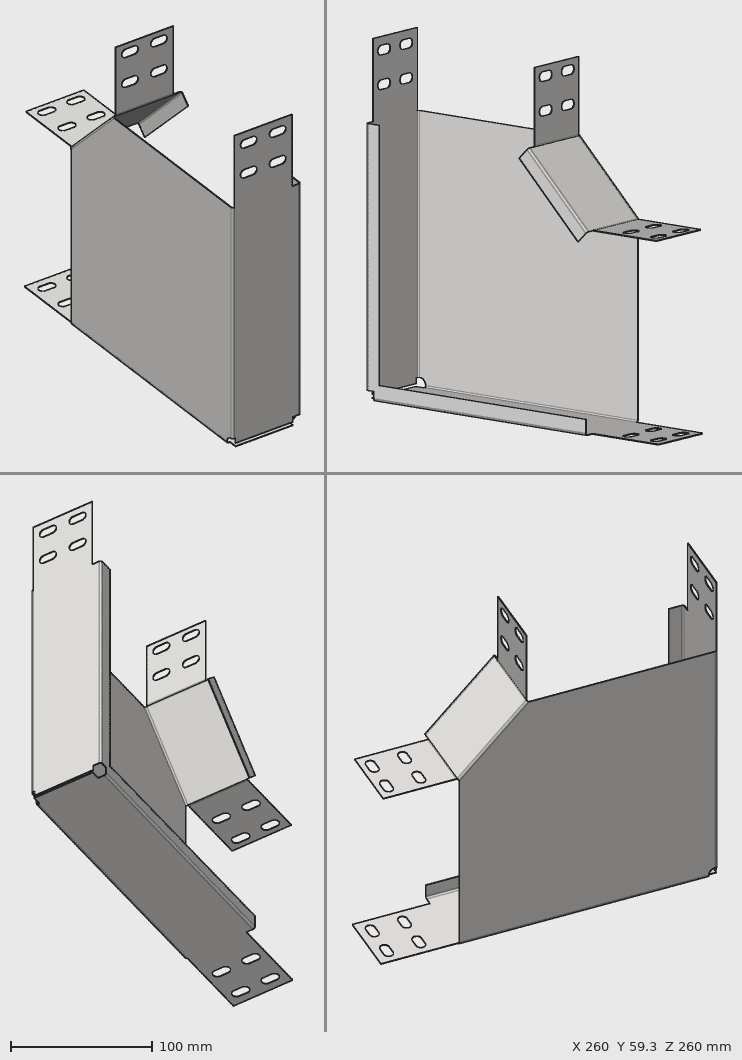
import cadquery as cq
import math

size = 260.0
depth = 59.3

thickness = 0.8
bend_radius = 1.8
lip_width = 12.0

plate_span = 200.0
inner_wall_x = 58.8
inner_wall_z = 147.7

tab_width = 50.0
inner_tab_setback = 1.8
slot_length = 14.0
slot_width = 7.0
slot_spacing = 25.0
slot_edge_distance = 10.0

relief_radius = 5.2
notch_size = 7.0
base_notch_depth = 2.9
wall_gap = 2.9

plate_start = size - plate_span
inner_radius = bend_radius - thickness
inner_wall_length = (size - inner_wall_x - inner_wall_z) * math.sqrt(2)
tab_center = bend_radius + tab_width / 2


def box(x, y, z):
    """Box between the (low, high) limits on each axis."""
    block = cq.Workplane("XY").box(x[1] - x[0], y[1] - y[0], z[1] - z[0], centered=False)
    return block.translate((x[0], y[0], z[0]))


def mirror_to_other_leg(body):
    """Mirror about the symmetry plane of the elbow, x + z = size."""
    return body.mirror((1, 0, 1), (size, 0, 0))


def base_plate():
    """Flat plate that ends where the bends begin."""
    low = bend_radius
    high = size - bend_radius
    diagonal_rise = inner_wall_z - inner_wall_x - bend_radius * math.sqrt(2)
    outline = [
        (plate_start, low),
        (high, low),
        (high, plate_span),
        (plate_span - diagonal_rise, plate_span),
        (plate_start, plate_start + diagonal_rise),
    ]
    return cq.Workplane("XZ").polyline(outline).close().extrude(-thickness)


def flange(origin, inward, length):
    """Wall with a bend to the plate and a return lip; `inward` points over the plate."""
    along = cq.Vector(*inward).cross(cq.Vector(0, 1, 0))
    arc_height = math.sqrt(0.5)
    outer_mid = bend_radius - bend_radius * arc_height
    inner_mid = bend_radius - inner_radius * arc_height
    lip_bend = depth - bend_radius
    return (
        cq.Workplane(cq.Plane(origin, inward, along))
        .moveTo(bend_radius, 0)
        .threePointArc((outer_mid, outer_mid), (0, bend_radius))
        .lineTo(0, lip_bend)
        .threePointArc((outer_mid, depth - outer_mid), (bend_radius, depth))
        .lineTo(lip_width, depth)
        .lineTo(lip_width, depth - thickness)
        .lineTo(bend_radius, depth - thickness)
        .threePointArc((inner_mid, depth - inner_mid), (thickness, lip_bend))
        .lineTo(thickness, bend_radius)
        .threePointArc((inner_mid, inner_mid), (bend_radius, thickness))
        .close()
        .extrude(length)
    )


def tab(free_end, root, underside):
    """Slotted tab along X from its free end to its root."""
    sheet = box(
        (free_end, root),
        (bend_radius, bend_radius + tab_width),
        (underside, underside + thickness),
    )
    slots = (
        cq.Workplane("XY")
        .center(slot_edge_distance + slot_spacing / 2, tab_center)
        .rarray(slot_spacing, slot_spacing, 2, 2)
        .slot2D(slot_length, slot_width, 90)
        .extrude(size)
    )
    return sheet.cut(slots)


def inner_tab():
    """Tab that leaves the lower end of the 45 degree wall through a rounded bend."""
    bend_angle = math.radians(45)
    bend_start = inner_wall_x - inner_radius * math.tan(bend_angle / 2)
    bend_center_z = inner_wall_z + inner_radius

    def on_bend(radius, angle):
        return (bend_start + radius * math.sin(angle), bend_center_z - radius * math.cos(angle))

    bend = (
        cq.Workplane("XZ", origin=(0, bend_radius, 0))
        .moveTo(*on_bend(inner_radius, 0))
        .threePointArc(on_bend(inner_radius, bend_angle / 2), on_bend(inner_radius, bend_angle))
        .lineTo(*on_bend(bend_radius, bend_angle))
        .threePointArc(on_bend(bend_radius, bend_angle / 2), on_bend(bend_radius, 0))
        .close()
        .extrude(-tab_width)
    )
    return tab(inner_tab_setback, bend_start, inner_wall_z - thickness).union(bend)


def outer_leg():
    """Bottom wall with its tab, notched at the end next to the outer corner."""
    notch_x = (size - notch_size, size)
    wall = flange((size, 0, 0), (0, 0, 1), plate_span)
    wall = wall.cut(box(notch_x, (0, base_notch_depth), (0, lip_width)))
    wall = wall.cut(box(notch_x, (depth - notch_size, depth), (0, lip_width)))
    return wall.union(tab(0, plate_start, 0))


def corner_hole():
    """Round relief in the plate at the outer corner."""
    center = (size - bend_radius, bend_radius)
    return cq.Workplane("XZ").center(*center).circle(relief_radius).extrude(-thickness)


bottom_leg = outer_leg()
gap = box((size - bend_radius, size), (0, depth), (0, wall_gap))
right_leg = mirror_to_other_leg(bottom_leg).cut(gap)

diagonal_wall = flange((inner_wall_x, 0, inner_wall_z), (1, 0, -1), inner_wall_length)
lower_tab = inner_tab()
upper_tab = mirror_to_other_leg(lower_tab)

result = base_plate().cut(corner_hole())
for piece in (bottom_leg, right_leg, diagonal_wall, lower_tab, upper_tab):
    result = result.union(piece)